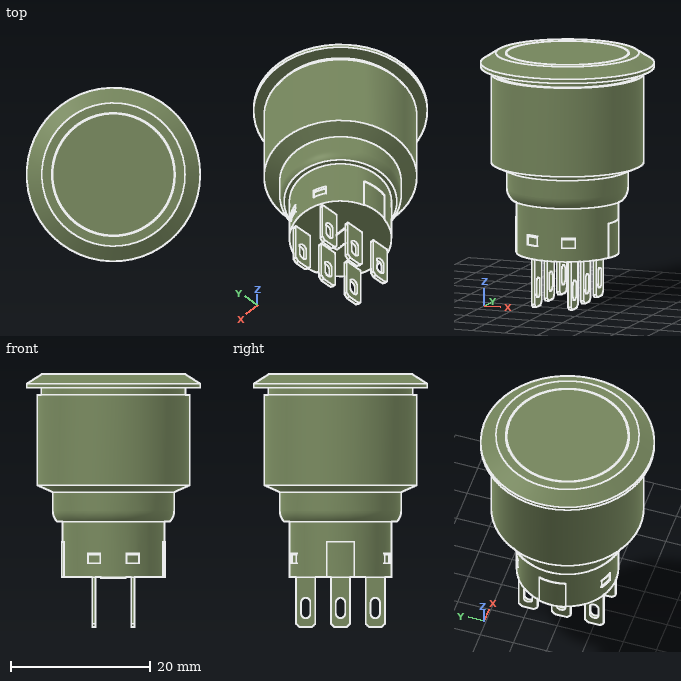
import cadquery as cq
import math


bezel_diameter = 25.0
bezel_face_diameter = 20.6
bezel_height = 2.0
bezel_rim_height = 0.6
bezel_bore_diameter = 17.75
button_diameter = 17.5
button_gap_depth = 0.5

neck_diameter = 20.8
body_diameter = 22.0
body_top = -1.0
body_taper_top = -14.0
body_taper_bottom = -15.0
collar_diameter = 17.5
collar_round_top = -17.7
collar_round_radius = 2.2
collar_bottom = -19.25

housing_diameter = 14.7
housing_bottom = -27.2
lug_diameter = 14.9
lug_width = 4.0
lug_height = 5.05

window_width = 1.95
window_top = -23.75
window_height = 1.45
window_depth = 0.2
window_offset = 2.83
window_angle = math.degrees(math.asin(window_offset / (housing_diameter / 2)))
latch_slope_height = 0.25
latch_slope_depth = 0.15

pad_length = 3.6
pad_width = 2.0
pad_height = 0.2

terminal_row_spacing = 5.6
terminal_pitch = 5.0
terminal_thickness = 0.5
terminal_width = 2.8
terminal_length = 7.2
terminal_chamfer = 0.5
eyelet_width = 1.3
eyelet_length = 2.9
eyelet_centre_drop = 4.45


def make_body():
    """Revolve the bezel, neck, main body, collar and housing as one profile."""
    collar_radius = collar_diameter / 2
    housing_radius = housing_diameter / 2

    def round_radius_at(drop):
        inset = collar_round_radius - math.sqrt(collar_round_radius**2 - drop**2)
        return collar_radius - inset

    round_height = collar_round_top - collar_bottom
    profile = (
        cq.Workplane("XZ")
        .moveTo(0, bezel_height)
        .lineTo(bezel_face_diameter / 2, bezel_height)
        .lineTo(bezel_diameter / 2, bezel_rim_height)
        .lineTo(bezel_diameter / 2, 0)
        .lineTo(neck_diameter / 2, 0)
        .lineTo(neck_diameter / 2, body_top)
        .lineTo(body_diameter / 2, body_top)
        .lineTo(body_diameter / 2, body_taper_top)
        .lineTo(collar_radius, body_taper_bottom)
        .lineTo(collar_radius, collar_round_top)
        .threePointArc(
            (round_radius_at(round_height / 2), collar_round_top - round_height / 2),
            (round_radius_at(round_height), collar_bottom),
        )
        .lineTo(housing_radius, collar_bottom)
        .lineTo(housing_radius, housing_bottom)
        .lineTo(0, housing_bottom)
        .close()
    )
    return profile.revolve(360, (0, 0, 0), (0, 1, 0))


def make_button_gap():
    """Ring-shaped gap between the button and the bezel."""
    return (
        cq.Workplane("XY", origin=(0, 0, bezel_height - button_gap_depth))
        .circle(bezel_bore_diameter / 2)
        .circle(button_diameter / 2)
        .extrude(button_gap_depth)
    )


def make_lugs():
    """Two thin key lugs on the +X and -X sides of the housing."""
    base = cq.Workplane("XY", origin=(0, 0, housing_bottom))
    disc = base.circle(lug_diameter / 2).extrude(lug_height)
    strip = base.rect(bezel_diameter, lug_width).extrude(lug_height)
    return disc.intersect(strip)


def make_window(angle):
    """Latch window cutter; its floor is a latch face with a sloped top edge."""
    floor_radius = housing_diameter / 2 - window_depth
    outside_radius = housing_diameter / 2 + window_depth
    window_bottom = window_top - window_height
    ring = (
        cq.Workplane("XZ")
        .polyline([
            (floor_radius, window_bottom),
            (outside_radius, window_bottom),
            (outside_radius, window_top),
            (floor_radius - latch_slope_depth, window_top),
            (floor_radius, window_top - latch_slope_height),
        ])
        .close()
        .revolve(360, (0, 0, 0), (0, 1, 0))
    )
    sector = (
        cq.Workplane("XY", origin=(0, 0, window_bottom))
        .center(0, outside_radius / 2)
        .rect(window_width, outside_radius)
        .extrude(window_height)
    )
    return ring.intersect(sector).rotate((0, 0, 0), (0, 0, 1), angle)


def make_pad():
    """Low pad in the middle of the housing underside."""
    return (
        cq.Workplane("XY", origin=(0, 0, housing_bottom))
        .rect(pad_length, pad_width)
        .extrude(-pad_height)
    )


def make_terminal(x, y):
    """Flat solder terminal with chamfered tip corners and an oblong eyelet."""
    blade = (
        cq.Workplane("XY", origin=(x, y, housing_bottom))
        .rect(terminal_thickness, terminal_width)
        .extrude(-terminal_length)
        .faces("<Z")
        .edges("|X")
        .chamfer(terminal_chamfer)
    )
    eyelet = (
        cq.Workplane("YZ", origin=(x, y, housing_bottom - eyelet_centre_drop))
        .slot2D(eyelet_length, eyelet_width, 90)
        .extrude(terminal_thickness, both=True)
    )
    return blade.cut(eyelet)


result = make_body().cut(make_button_gap()).union(make_lugs()).union(make_pad())

for side_angle in (0, 180):
    for offset in (-window_angle, window_angle):
        result = result.cut(make_window(side_angle + offset))

for row in (-0.5, 0.5):
    for place in (-1, 0, 1):
        result = result.union(make_terminal(row * terminal_row_spacing, place * terminal_pitch))